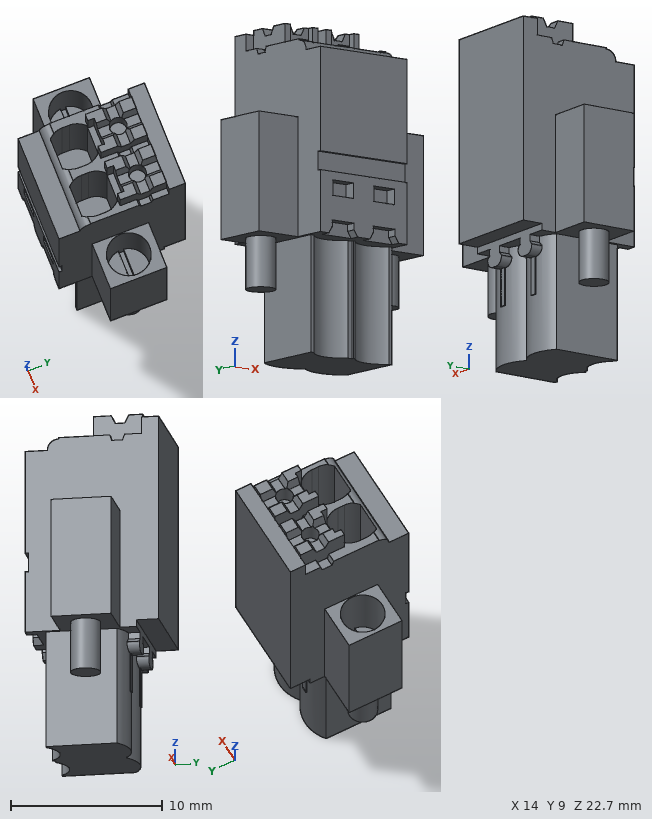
import cadquery as cq


POLE_PITCH = 3.5
PLUG_POLES = (-POLE_PITCH / 2, POLE_PITCH / 2)
TOP_OFFSET = 0.11
TOP_POLES = tuple(x + TOP_OFFSET for x in PLUG_POLES)

HOUSING_WIDTH = 7.4
HOUSING_DEPTH = 9.0
FRONT_Y = -HOUSING_DEPTH / 2
BACK_Y = HOUSING_DEPTH / 2
BOTTOM_Z = 7.92
BACK_BOTTOM_Z = 8.38
BACK_STEP_Y = 3.0
BACK_WALL_Y = 3.34
BACK_WALL_TOP = 22.38
DECK_Z = 21.25
ROUND_START_Y = -2.25
ROUND_TOP_Z = 21.15
ROUND_RADIUS = 0.75
ROUND_END_Y = ROUND_START_Y - ROUND_RADIUS
SHELF_Z = ROUND_TOP_Z - ROUND_RADIUS

BAND_BOTTOM = 12.1
BAND_TOP = 13.37
BAND_DEPTH = 0.23

DECK_GROOVE_Y = 1.7
DECK_GROOVE_TOP_WIDTH = 1.0
DECK_GROOVE_FLOOR_WIDTH = 0.73
POCKET_Z = 20.85

BUTTON_WIDTH = 2.81
BUTTON_FRONT_Y = 0.02
BUTTON_TOP = 22.7
BUTTON_DEPTH = BACK_WALL_Y - BUTTON_FRONT_Y
BUTTON_Y = (BACK_WALL_Y + BUTTON_FRONT_Y) / 2
CROSS_Y = 1.82
CROSS_TOP_WIDTH = 1.18
CROSS_FLOOR_WIDTH = 0.64
CROSS_DEPTH = 0.55
BUTTON_HOLE_DIAMETER = 1.18
BUTTON_NOTCH_WIDTH = 1.88
BUTTON_NOTCH_DEPTH = 0.45

ENTRY_DIAMETER = 2.95
ENTRY_STRAIGHT = 0.5
ENTRY_Y = -1.35
ENTRY_FRONT_Y = -2.59
ENTRY_DEPTH = 6.35

WINDOW_WIDTH = 1.73
WINDOW_BOTTOM = 10.49
WINDOW_TOP = 11.53
WINDOW_DEPTH = 0.8
CUTOUT_DEPTH = 0.68
CUTOUT_WIDTH = 1.86
CUTOUT_FLARE_WIDTH = 2.45
CUTOUT_TOP = 8.83

PLUG_WIDTH = 7.0
PLUG_FRONT_Y = -3.27
PLUG_CORNER_Y = 1.65
PLUG_BACK_Y = 2.27
SCALLOP_WIDTH = 3.0
SCALLOP_DEPTH = 0.77
SCALLOP_STEP = 0.14
POLE_STEP_X = 0.11
RIB_WIDTH = 0.45
RIB_Y = 2.34
RIB_BOTTOM = 4.02

TAB_STEM_WIDTH = 1.14
TAB_WIDTH = 1.6
TAB_SHOULDER_TOP = 7.5
TAB_SHOULDER_BOTTOM = 7.25
TAB_BOTTOM = 6.6
TAB_CORNER_RADIUS = 0.6

OVERALL_WIDTH = 14.0
FLANGE_FRONT_Y = -2.13
FLANGE_BACK_Y = 1.88
FLANGE_TOP = 16.0
SCREW_X = 5.25
SCREW_Y = -0.14
SCREW_CENTRES = ((-SCREW_X, SCREW_Y), (SCREW_X, SCREW_Y))
HEAD_BORE_DIAMETER = 2.95
HEAD_DIAMETER = 2.84
HEAD_BOTTOM = 10.22
HEAD_TOP = 12.25
SHANK_DIAMETER = 2.0
SHANK_BOTTOM = 4.47
SLOT_WIDTH = 0.36
SLOT_DEPTH = 0.57


def block(x_range, y_range, z_range):
    """Box between the given pairs of limits."""
    (x0, x1), (y0, y1), (z0, z1) = x_range, y_range, z_range
    return cq.Workplane("XY").box(x1 - x0, y1 - y0, z1 - z0, centered=False).translate((x0, y0, z0))


def centred_block(x, width, y_range, z_range):
    """Box of the given width centred on x."""
    return block((x - width / 2, x + width / 2), y_range, z_range)


def cylinder(x, y, diameter, z_range):
    """Upright cylinder between two heights."""
    bottom, top = z_range
    return cq.Workplane("XY", origin=(x, y, bottom)).circle(diameter / 2).extrude(top - bottom)


def v_groove(plane, centre, length, top_width, floor_width, z_range):
    """Trapezoidal cutter, symmetric about its plane, opening upwards."""
    floor, top = z_range
    outline = [
        (-floor_width / 2, floor),
        (floor_width / 2, floor),
        (top_width / 2, top),
        (-top_width / 2, top),
    ]
    return cq.Workplane(plane).polyline(outline).close().extrude(length / 2, both=True).translate(centre)




def housing_block():
    """Main block, extruded along X from its side outline."""
    return (
        cq.Workplane("YZ")
        .moveTo(FRONT_Y, BOTTOM_Z)
        .lineTo(BACK_STEP_Y, BOTTOM_Z)
        .lineTo(BACK_STEP_Y, BACK_BOTTOM_Z)
        .lineTo(BACK_Y, BACK_BOTTOM_Z)
        .lineTo(BACK_Y, BACK_WALL_TOP)
        .lineTo(BACK_WALL_Y, BACK_WALL_TOP)
        .lineTo(BACK_WALL_Y, DECK_Z)
        .lineTo(ROUND_START_Y, DECK_Z)
        .lineTo(ROUND_START_Y, ROUND_TOP_Z)
        .radiusArc((ROUND_END_Y, SHELF_Z), -ROUND_RADIUS)
        .lineTo(FRONT_Y, SHELF_Z)
        .lineTo(FRONT_Y, BAND_TOP)
        .lineTo(FRONT_Y + BAND_DEPTH, BAND_TOP)
        .lineTo(FRONT_Y + BAND_DEPTH, BAND_BOTTOM)
        .lineTo(FRONT_Y, BAND_BOTTOM)
        .close()
        .extrude(HOUSING_WIDTH / 2, both=True)
    )


def wire_entry(x):
    """Cutter with rounded sides and flat front and back."""
    slot_length = ENTRY_DIAMETER + ENTRY_STRAIGHT
    z_range = (DECK_Z - ENTRY_DEPTH, DECK_Z)
    rounded = (
        cq.Workplane("XY", origin=(x, ENTRY_Y, z_range[0]))
        .slot2D(slot_length, ENTRY_DIAMETER, 90)
        .extrude(ENTRY_DEPTH)
    )
    return rounded.intersect(centred_block(x, ENTRY_DIAMETER, (ENTRY_FRONT_Y, BUTTON_FRONT_Y), z_range))


def keying_cutout(x):
    """Cutter at the bottom of the front face: a straight slot that flares at the bottom edge."""
    outline = [
        (x - CUTOUT_FLARE_WIDTH / 2, BOTTOM_Z),
        (x + CUTOUT_FLARE_WIDTH / 2, BOTTOM_Z),
        (x + CUTOUT_WIDTH / 2, BACK_BOTTOM_Z),
        (x + CUTOUT_WIDTH / 2, CUTOUT_TOP),
        (x - CUTOUT_WIDTH / 2, CUTOUT_TOP),
        (x - CUTOUT_WIDTH / 2, BACK_BOTTOM_Z),
    ]
    return cq.Workplane("XZ", origin=(0, FRONT_Y, 0)).polyline(outline).close().extrude(-CUTOUT_DEPTH)


def plug():
    """Plug with a concave scallop per pole in front and a convex bulge per pole behind."""
    left, right = -PLUG_WIDTH / 2, PLUG_WIDTH / 2
    low_front_y = PLUG_FRONT_Y + SCALLOP_STEP
    scallop_y = PLUG_FRONT_Y + SCALLOP_DEPTH
    half_scallop = SCALLOP_WIDTH / 2
    first, second = PLUG_POLES
    outline = (
        cq.Workplane("XY")
        .moveTo(left, PLUG_FRONT_Y)
        .lineTo(first - half_scallop, PLUG_FRONT_Y)
        .threePointArc((first, scallop_y), (first + half_scallop, low_front_y))
        .lineTo(POLE_STEP_X, low_front_y)
        .lineTo(POLE_STEP_X, PLUG_FRONT_Y)
        .lineTo(second - half_scallop, PLUG_FRONT_Y)
        .threePointArc((second, scallop_y), (second + half_scallop, low_front_y))
        .lineTo(right, low_front_y)
        .lineTo(right, PLUG_CORNER_Y)
        .threePointArc((second, PLUG_BACK_Y), (0, PLUG_CORNER_Y))
        .threePointArc((first, PLUG_BACK_Y), (left, PLUG_CORNER_Y))
        .close()
    )
    body = outline.extrude(BACK_BOTTOM_Z)
    for x in PLUG_POLES:
        body = body.union(centred_block(x, RIB_WIDTH, (PLUG_CORNER_Y, RIB_Y), (RIB_BOTTOM, BOTTOM_Z)))
        body = body.union(coding_tab(x))
    return body


def coding_tab(x):
    """Hanging tab: a stem that widens at sloping shoulders and ends in rounded corners."""
    half_stem, half_tab = TAB_STEM_WIDTH / 2, TAB_WIDTH / 2
    outline = [
        (x - half_stem, BACK_BOTTOM_Z),
        (x - half_stem, TAB_SHOULDER_TOP),
        (x - half_tab, TAB_SHOULDER_BOTTOM),
        (x - half_tab, TAB_BOTTOM),
        (x + half_tab, TAB_BOTTOM),
        (x + half_tab, TAB_SHOULDER_BOTTOM),
        (x + half_stem, TAB_SHOULDER_TOP),
        (x + half_stem, BACK_BOTTOM_Z),
    ]
    tab = cq.Workplane("XZ", origin=(0, PLUG_CORNER_Y, 0)).polyline(outline).close()
    tab = tab.extrude(PLUG_CORNER_Y - BACK_STEP_Y)
    bottom_corners = cq.selectors.BoxSelector(
        (x - TAB_WIDTH, PLUG_CORNER_Y, TAB_BOTTOM - 0.23), (x + TAB_WIDTH, BACK_STEP_Y, TAB_BOTTOM + 0.23)
    )
    return tab.edges("|Y").edges(bottom_corners).fillet(TAB_CORNER_RADIUS)


def flanged_housing():
    """Housing block with its flanges, plug and all openings."""
    body = housing_block()

    flange_y = (FLANGE_FRONT_Y, FLANGE_BACK_Y)
    body = body.union(centred_block(0, OVERALL_WIDTH, flange_y, (BOTTOM_Z, FLANGE_TOP)))
    for x, y in SCREW_CENTRES:
        body = body.cut(cylinder(x, y, HEAD_BORE_DIAMETER, (HEAD_BOTTOM, FLANGE_TOP)))
        body = body.cut(cylinder(x, y, SHANK_DIAMETER, (BOTTOM_Z, HEAD_BOTTOM)))

    deck_groove_centre = (0, DECK_GROOVE_Y, 0)
    body = body.cut(
        v_groove(
            "YZ",
            deck_groove_centre,
            HOUSING_WIDTH,
            DECK_GROOVE_TOP_WIDTH,
            DECK_GROOVE_FLOOR_WIDTH,
            (POCKET_Z, DECK_Z),
        )
    )
    for x in TOP_POLES:
        body = body.cut(centred_block(x, BUTTON_WIDTH, (BUTTON_FRONT_Y, BACK_WALL_Y), (POCKET_Z, DECK_Z)))
        body = body.cut(wire_entry(x))

    for x in PLUG_POLES:
        window_y = (FRONT_Y, FRONT_Y + WINDOW_DEPTH)
        body = body.cut(centred_block(x, WINDOW_WIDTH, window_y, (WINDOW_BOTTOM, WINDOW_TOP)))
        body = body.cut(keying_cutout(x))
    return body.union(plug())




def push_button(x):
    """Button with crossed V grooves, a central hole and a notch above the wire entry."""
    button = centred_block(x, BUTTON_WIDTH, (BUTTON_FRONT_Y, BACK_WALL_Y), (POCKET_Z, BUTTON_TOP))
    groove_z = (BUTTON_TOP - CROSS_DEPTH, BUTTON_TOP)
    across = v_groove("YZ", (x, CROSS_Y, 0), BUTTON_WIDTH, CROSS_TOP_WIDTH, CROSS_FLOOR_WIDTH, groove_z)
    along = v_groove("XZ", (x, BUTTON_Y, 0), BUTTON_DEPTH, CROSS_TOP_WIDTH, CROSS_FLOOR_WIDTH, groove_z)
    hole = cylinder(x, CROSS_Y, BUTTON_HOLE_DIAMETER, (POCKET_Z, BUTTON_TOP))
    notch_y = (BUTTON_FRONT_Y, BUTTON_FRONT_Y + BUTTON_NOTCH_DEPTH)
    notch = centred_block(x, BUTTON_NOTCH_WIDTH, notch_y, (POCKET_Z, BUTTON_TOP))
    return button.cut(across).cut(along).cut(hole).cut(notch)




def flange_screw(x, y):
    """Slotted cheese-head screw whose shank hangs below the flange."""
    head = cylinder(x, y, HEAD_DIAMETER, (HEAD_BOTTOM, HEAD_TOP))
    shank = cylinder(x, y, SHANK_DIAMETER, (SHANK_BOTTOM, HEAD_BOTTOM))
    slot_y = (y - SLOT_WIDTH / 2, y + SLOT_WIDTH / 2)
    slot = centred_block(x, HEAD_DIAMETER, slot_y, (HEAD_TOP - SLOT_DEPTH, HEAD_TOP))
    return head.union(shank).cut(slot)


housing = flanged_housing()
buttons = [push_button(x).val() for x in TOP_POLES]
screws = [flange_screw(x, y).val() for x, y in SCREW_CENTRES]

result = cq.Compound.makeCompound([housing.val(), *buttons, *screws])